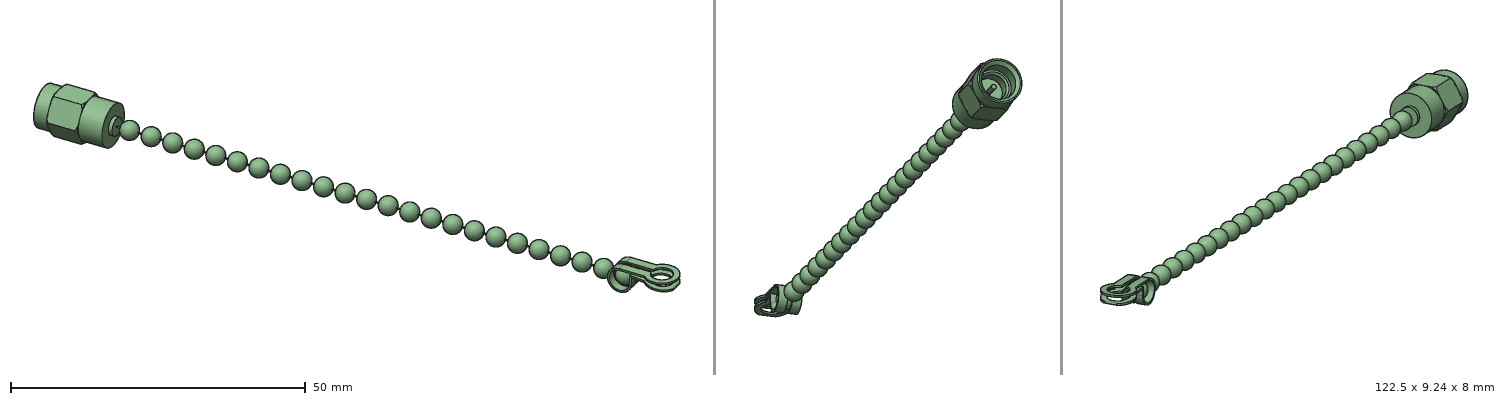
import cadquery as cq
import math

TOTAL_LENGTH = 122.5

NUT_DIAMETER = 8.0
HEX_ACROSS_FLATS = NUT_DIAMETER
HEX_ACROSS_CORNERS = HEX_ACROSS_FLATS / math.cos(math.pi / 6)
HEX_START = 2.7
HEX_END = 8.7
HEX_CHAMFER = 0.4
NUT_LENGTH = 13.2
NUT_BACK_WALL = 1.2
BORE_RADIUS = 3.1
MOUTH_CHAMFER = 0.6

PLUG_START = 3.1
PLUG_CUP_DEPTH = 2.5
PLUG_CUP_RADIUS = 2.3
PLUG_CUP_CHAMFER = 0.4
PIN_RADIUS = 0.43
SHANK_RADIUS = 1.7
SHANK_END = 14.0

BEAD_RADIUS = 1.7
BEAD_COUNT = 24
FIRST_BEAD_X = 16.4
LAST_BEAD_X = 112.4
BEAD_PITCH = (LAST_BEAD_X - FIRST_BEAD_X) / (BEAD_COUNT - 1)
WIRE_RADIUS = 0.1
WIRE_ANCHOR_DEPTH = 1.2

STRIP_THICKNESS = 0.4
STRIP_WIDTH = 4.2
SLOT_WIDTH = 0.9
LOOP_OUTER_RADIUS = 2.3
EYE_OUTER_RADIUS = 3.1
EYE_HOLE_RADIUS = 2.0
EYE_X = TOTAL_LENGTH - EYE_OUTER_RADIUS
LEAF_GAP = 0.4
LOWER_LEAF_DROP = 0.7
LOWER_LEAF_SETBACK = 0.4


def x_cylinder(start, end, radius):
    """A cylinder on the assembly axis between two X positions."""
    return cq.Workplane("YZ").workplane(offset=start).circle(radius).extrude(end - start)


def x_cone(start, start_radius, length, end_radius):
    """A tapered plug on the assembly axis, running toward +X."""
    return cq.Workplane(
        cq.Solid.makeCone(start_radius, end_radius, length, cq.Vector(start, 0, 0), cq.Vector(1, 0, 0))
    )


def make_hexagon():
    """Hexagon with corners on +Y and -Y, its corners turned off at both ends."""
    corner_radius = HEX_ACROSS_CORNERS / 2
    hexagon = (
        cq.Workplane("YZ")
        .workplane(offset=HEX_START)
        .polygon(6, HEX_ACROSS_CORNERS)
        .extrude(HEX_END - HEX_START)
    )
    turned = x_cylinder(HEX_START, HEX_END, corner_radius).faces("<X or >X").chamfer(HEX_CHAMFER)
    return hexagon.intersect(turned)


def make_nut():
    nut = x_cylinder(0, NUT_LENGTH, NUT_DIAMETER / 2).union(make_hexagon())
    nut = nut.cut(x_cylinder(0, NUT_LENGTH - NUT_BACK_WALL, BORE_RADIUS))
    mouth_radius = BORE_RADIUS + MOUTH_CHAMFER
    nut = nut.cut(x_cone(0, mouth_radius, MOUTH_CHAMFER, BORE_RADIUS))
    return nut.cut(x_cylinder(0, NUT_LENGTH, SHANK_RADIUS))


def make_plug():
    floor = PLUG_START + PLUG_CUP_DEPTH
    plug = x_cylinder(PLUG_START, NUT_LENGTH - NUT_BACK_WALL, BORE_RADIUS)
    plug = plug.cut(x_cylinder(PLUG_START, floor, PLUG_CUP_RADIUS))
    mouth_radius = PLUG_CUP_RADIUS + PLUG_CUP_CHAMFER
    plug = plug.cut(x_cone(PLUG_START, mouth_radius, PLUG_CUP_CHAMFER, PLUG_CUP_RADIUS))
    plug = plug.union(x_cylinder(PLUG_START, floor, PIN_RADIUS))
    plug = plug.union(x_cylinder(floor, SHANK_END, SHANK_RADIUS))
    return plug.cut(x_cylinder(SHANK_END - WIRE_ANCHOR_DEPTH, SHANK_END, WIRE_RADIUS))


def make_chain():
    chain = x_cylinder(SHANK_END - WIRE_ANCHOR_DEPTH, LAST_BEAD_X, WIRE_RADIUS)
    for i in range(BEAD_COUNT):
        bead = cq.Workplane("XY").center(FIRST_BEAD_X + i * BEAD_PITCH, 0).sphere(BEAD_RADIUS)
        chain = chain.union(bead)
    return chain


def make_folded_strip():
    """Wide strip: upper leaf, three-quarter loop around the bead, sloping lower leaf."""
    loop_radius = LOOP_OUTER_RADIUS - STRIP_THICKNESS / 2
    diagonal = loop_radius / math.sqrt(2)
    riser_x = LAST_BEAD_X + loop_radius
    lower_leaf_z = loop_radius - STRIP_THICKNESS - LEAF_GAP
    centre_line = (
        cq.Workplane("XZ")
        .moveTo(TOTAL_LENGTH, loop_radius)
        .lineTo(LAST_BEAD_X, loop_radius)
        .threePointArc((LAST_BEAD_X - diagonal, -diagonal), (riser_x, 0))
        .lineTo(riser_x, lower_leaf_z)
        .lineTo(TOTAL_LENGTH - LOWER_LEAF_SETBACK, lower_leaf_z - LOWER_LEAF_DROP)
    )
    return centre_line.offset2D(STRIP_THICKNESS / 2).extrude(EYE_OUTER_RADIUS, both=True)


def keyhole(bar_width, eye_radius):
    """Tall upright prism: a bar from the loop to the eye, ending in the eye's circle."""
    loop_start = LAST_BEAD_X - LOOP_OUTER_RADIUS
    bar_length = EYE_X - loop_start
    bar = cq.Workplane("XY").center(loop_start + bar_length / 2, 0).rect(bar_length, bar_width)
    eye = cq.Workplane("XY").center(EYE_X, 0).circle(eye_radius)
    half_height = LOOP_OUTER_RADIUS + STRIP_THICKNESS
    return bar.extrude(half_height, both=True).union(eye.extrude(half_height, both=True))


def make_clip():
    outline = keyhole(STRIP_WIDTH, EYE_OUTER_RADIUS)
    opening = keyhole(SLOT_WIDTH, EYE_HOLE_RADIUS)
    return make_folded_strip().intersect(outline).cut(opening)


nut = make_nut()
plug = make_plug()
chain = make_chain()
clip = make_clip()

result = cq.Compound.makeCompound([nut.val(), plug.val(), chain.val(), clip.val()])